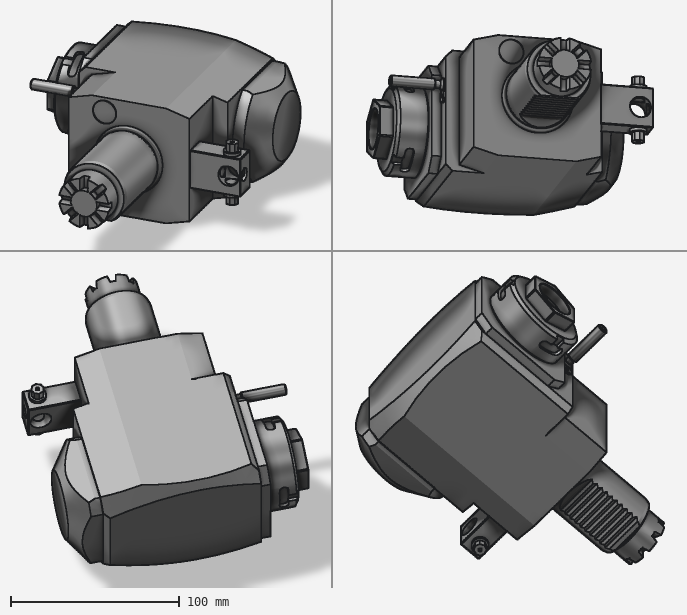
import cadquery as cq
import math


half_height = 37.5
housing_back = 114.0
foot_length = 35.1
foot_half_width = 39.0
flat_half_width = 23.8
housing_left = -47.1
housing_right = 48.5
left_chamfer = 4.0
back_right_chamfer = 3.3
side_slope = math.tan(math.radians(15))
dome_center = (-9.6, -22.4)
dome_radius = 132.0
plug_center = (-15.8, 27.8)
plug_radius = 7.5
plug_depth = 0.5

spindle_y = 80.0
plate_left = -52.8
plate_half_size = 33.5
plate_chamfer = 8.4

nut_left = -72.0
nut_right = -53.3
nut_radius = 27.3
nut_chamfer_length = 1.8
nut_chamfer_radial = 2.5
nut_neck_radius = 26.4
nut_slot_depth = 2.2
nut_slot_count = 3
arc_slot_x = -62.8
arc_slot_width = 5.5
arc_slot_half_angle = 20.0
axial_slot_width = 5.8

hex_left = -80.3
hex_across_flats = 32.0
hex_corner_radius = 18.2
hex_edge_chamfer = 0.4
bore_radius = 12.0
bore_depth = 6.4

cap_right = 67.3
cap_cone_start = 55.7
cap_radius = 37.3
cap_end_radius = 21.1
cap_back = 110.0
cap_half_height = 29.7
cap_slope_start = 51.7

collar_radius = 21.7
collar_length = 2.2
collar_rounding = 1.1
groove_radius = 19.3
groove_end = 3.6
shank_radius = 20.0
shank_length = 52.8
shank_chamfer_length = 2.7
shank_chamfer_radial = 0.7
neck_radius = 13.0

flat_z = -15.8
serration_pitch = 4.0
serration_depth = 1.3
serration_count = 10
serration_start = -9.6

dog_start = -54.2
dog_end = -68.0
dog_radius = 16.0
dog_core_radius = 8.4
dog_slot_count = 8
dog_slot_depth = 4.5
dog_slot_mouth = 5.3
dog_slot_floor = 3.5

pin_y = 40.5
pin_z = 17.5
pin_left = -79.9
pin_right = -52.5
pin_radius = 3.3
pin_chamfer = 0.7
pin_neck_radius = 2.4
pin_foot_start = -49.5
pin_foot_radius = 4.0
button_z = 10.4
button_radius = 4.0
button_height = 1.1
button_hole_radius = 1.1

arm_right = 71.2
arm_front = 1.3
arm_back = 16.0
arm_half_height = 12.4
arm_chamfer = 0.5
arm_hole_x = 63.3
arm_hole_radius = 6.4
cross_hole_radius = 4.0
cross_hole_reach = 6.0

screw_y = 7.3
washer_radius = 5.1
washer_height = 2.0
screw_top = 19.8
screw_head_sides = 8
screw_head_size = 7.6
screw_hole_radius = 1.1
screw_hole_depth = 1.8


def mirrored_outline(upper_points):
    """Closed outline from its upper half and the mirror image below Z = 0."""
    return upper_points + [(x, -z) for x, z in reversed(upper_points)]


def block_along_y(outline, y_start, y_end):
    """Prism with an XZ outline between two Y planes."""
    return cq.Workplane("XZ", origin=(0, y_start, 0)).polyline(outline).close().extrude(y_start - y_end)


def cylinder_along_y(x, z, radius, y_start, y_end):
    return cq.Workplane("XZ", origin=(x, y_start, z)).circle(radius).extrude(y_start - y_end)


def turned_along_x(profile, y, z=0):
    """Solid of revolution about a line parallel to X; the profile is (x, radius) points."""
    return cq.Workplane("XY", origin=(0, y, z)).polyline(profile).close().revolve(360, (0, 0), (1, 0))


def turned_along_y(profile):
    """Solid of revolution about the Y axis; the profile is (radius, y) points."""
    return cq.Workplane("XY").polyline(profile).close().revolve(360, (0, 0), (0, 1))


def make_housing():
    right_z = half_height - side_slope * (housing_right - flat_half_width)
    foot_z = half_height - side_slope * (foot_half_width - flat_half_width)
    main = block_along_y(
        mirrored_outline([
            (housing_left, half_height - left_chamfer),
            (housing_left + left_chamfer, half_height),
            (flat_half_width, half_height),
            (housing_right, right_z),
        ]),
        foot_length,
        housing_back,
    )
    main = main.edges(">X and >Y").chamfer(back_right_chamfer)
    dome = (
        cq.Workplane("XZ", origin=(*dome_center, 0))
        .polyline([
            (0, half_height),
            (dome_radius, half_height),
            (dome_radius + half_height, 0),
            (dome_radius, -half_height),
            (0, -half_height),
        ])
        .close()
        .revolve(360, (0, 0), (0, 1))
    )
    foot = block_along_y(
        mirrored_outline([
            (-foot_half_width, foot_z),
            (-flat_half_width, half_height),
            (flat_half_width, half_height),
            (foot_half_width, foot_z),
        ]),
        0,
        foot_length,
    )
    plug_x, plug_z = plug_center
    plug_recess = cylinder_along_y(plug_x, plug_z, plug_radius, 0, plug_depth)
    return main.intersect(dome).union(foot).cut(plug_recess)


def make_plate():
    size = 2 * plate_half_size
    plate = (
        cq.Workplane("YZ", origin=(plate_left, spindle_y, 0))
        .rect(size, size)
        .extrude(housing_left - plate_left)
    )
    return plate.edges("|X").chamfer(plate_chamfer)


def make_nut_slots():
    """One axial slot and one round-ended arc slot on the +Y side of the nut."""
    floor_radius = nut_radius - nut_slot_depth
    reach = 2 * nut_slot_depth
    half_width = arc_slot_width / 2
    sweep_angle = arc_slot_half_angle - math.degrees(math.asin(half_width / nut_radius))
    slots = (
        cq.Workplane("XY", origin=(0, spindle_y, 0))
        .center(arc_slot_x, 0)
        .moveTo(-half_width, floor_radius)
        .rect(arc_slot_width, reach, centered=False)
        .revolve(2 * sweep_angle, (0, 0), (1, 0))
    )
    axis_start = (0, spindle_y, 0)
    axis_end = (1, spindle_y, 0)
    slots = slots.rotate(axis_start, axis_end, -sweep_angle)
    round_end = cylinder_along_y(
        arc_slot_x, 0, half_width, spindle_y + floor_radius, spindle_y + floor_radius + reach
    )
    for angle in (-sweep_angle, sweep_angle):
        slots = slots.union(round_end.rotate(axis_start, axis_end, angle))
    axial = cq.Workplane("XY").box(
        arc_slot_x - nut_left, reach, axial_slot_width, centered=(False, False, True)
    )
    return slots.union(axial.translate((nut_left, spindle_y + floor_radius, 0)))


def make_nut():
    nut = turned_along_x(
        [
            (nut_left, 0),
            (nut_left, nut_radius - nut_chamfer_radial),
            (nut_left + nut_chamfer_length, nut_radius),
            (nut_right, nut_radius),
            (nut_right, nut_neck_radius),
            (plate_left, nut_neck_radius),
            (plate_left, 0),
        ],
        spindle_y,
    )
    slots = make_nut_slots()
    for index in range(nut_slot_count):
        angle = index * 360 / nut_slot_count
        nut = nut.cut(slots.rotate((0, spindle_y, 0), (1, spindle_y, 0), angle))
    return nut


def make_hexagon():
    corner_diameter = hex_across_flats / math.cos(math.radians(30))
    front = cq.Workplane("YZ", origin=(hex_left, spindle_y, 0))
    rounded_corners = front.circle(hex_corner_radius).extrude(nut_left - hex_left)
    hexagon = (
        front.polygon(6, corner_diameter)
        .extrude(nut_left - hex_left)
        .rotate((0, spindle_y, 0), (1, spindle_y, 0), 30)
        .intersect(rounded_corners)
        .cut(front.circle(bore_radius).extrude(bore_depth))
    )
    return hexagon.faces("<X").chamfer(hex_edge_chamfer)


def make_cap():
    cap = turned_along_x(
        [
            (housing_right, 0),
            (housing_right, cap_radius),
            (cap_cone_start, cap_radius),
            (cap_right, cap_end_radius),
            (cap_right, 0),
        ],
        spindle_y,
    )
    end_z = cap_half_height - side_slope * (cap_right - cap_slope_start)
    envelope = block_along_y(
        mirrored_outline([
            (housing_right, cap_half_height),
            (cap_slope_start, cap_half_height),
            (cap_right, end_z),
        ]),
        spindle_y - cap_radius,
        cap_back,
    )
    return cap.intersect(envelope)


def make_shank():
    shank = turned_along_y([
        (0, 0),
        (groove_radius, 0),
        (groove_radius, -groove_end),
        (shank_radius, -groove_end),
        (shank_radius, shank_chamfer_length - shank_length),
        (shank_radius - shank_chamfer_radial, -shank_length),
        (neck_radius, -shank_length),
        (neck_radius, dog_start),
        (0, dog_start),
    ])
    collar = cylinder_along_y(0, 0, collar_radius, -collar_length, 0)
    collar = collar.faces("<Y").edges().fillet(collar_rounding)
    valley_z = flat_z + serration_depth
    profile = [
        (serration_start + shank_radius + flat_z, -shank_radius),
        (serration_start, flat_z),
    ]
    for index in range(serration_count):
        groove_start = serration_start - index * serration_pitch
        profile.append((groove_start - serration_pitch / 2, valley_z))
        profile.append((groove_start - serration_pitch, flat_z))
    profile += [(-shank_length, flat_z), (-shank_length, -shank_radius)]
    flat = cq.Workplane("YZ").polyline(profile).close().extrude(shank_radius, both=True)
    return shank.cut(flat).union(collar)


def make_drive_dog():
    slot_top = dog_end + dog_slot_depth
    dog = cylinder_along_y(0, 0, dog_radius, dog_end, dog_start)
    slot = (
        cq.Workplane("XY")
        .polyline([
            (-dog_slot_mouth / 2, dog_end),
            (dog_slot_mouth / 2, dog_end),
            (dog_slot_floor / 2, slot_top),
            (-dog_slot_floor / 2, slot_top),
        ])
        .close()
        .extrude(dog_radius)
    )
    core = cylinder_along_y(0, 0, dog_core_radius, dog_end, slot_top)
    for index in range(dog_slot_count):
        dog = dog.cut(slot.rotate((0, 0, 0), (0, 1, 0), index * 360 / dog_slot_count))
    return dog.union(core)


def make_pin():
    return turned_along_x(
        [
            (pin_left, 0),
            (pin_left, pin_radius - pin_chamfer),
            (pin_left + pin_chamfer, pin_radius),
            (pin_right - pin_chamfer, pin_radius),
            (pin_right, pin_radius - pin_chamfer),
            (pin_right, pin_neck_radius),
            (pin_foot_start, pin_neck_radius),
            (pin_foot_start + pin_foot_radius - pin_neck_radius, pin_foot_radius),
            (housing_left, pin_foot_radius),
            (housing_left, 0),
        ],
        pin_y,
        pin_z,
    )


def make_button():
    return (
        cq.Workplane("YZ", origin=(housing_left - button_height, pin_y, button_z))
        .circle(button_radius)
        .circle(button_hole_radius)
        .extrude(button_height)
    )


def make_screw():
    """Flanged screw on the upper face of the arm."""
    screw = cq.Workplane("XY", origin=(arm_hole_x, screw_y, arm_half_height))
    washer = screw.circle(washer_radius).extrude(washer_height)
    head = screw.polygon(screw_head_sides, screw_head_size).extrude(screw_top - arm_half_height)
    hole = head.faces(">Z").workplane().circle(screw_hole_radius).extrude(-screw_hole_depth, combine=False)
    return washer.union(head).cut(hole)


def cross_cylinder(plane, start, end):
    """Cylinder square to a plane through the crossing point of the arm holes."""
    center_plane = cq.Workplane(plane, origin=(arm_hole_x, screw_y, 0))
    return center_plane.workplane(offset=start).circle(cross_hole_radius).extrude(end - start)


def make_arm_holes():
    """Main hole along Y and two cross holes.

    The cross hole along Z ends flat above and below the main hole.
    The one along X ends flat towards the foot and is open at the end of the arm.
    """
    main = cylinder_along_y(arm_hole_x, 0, arm_hole_radius, arm_front, arm_back)
    for plane, start, end in (
        ("XY", cross_hole_reach, arm_hole_radius),
        ("XY", -arm_hole_radius, -cross_hole_reach),
        ("YZ", -arm_hole_radius, -cross_hole_reach),
    ):
        main = main.cut(cross_cylinder(plane, start, end))
    upright = cross_cylinder("XY", -cross_hole_reach, cross_hole_reach)
    lengthwise = cross_cylinder("YZ", -cross_hole_reach, arm_right - arm_hole_x)
    return main.union(upright).union(lengthwise)


def make_arm():
    arm = (
        cq.Workplane("XY")
        .box(
            arm_right - foot_half_width,
            arm_back - arm_front,
            2 * arm_half_height,
            centered=(False, False, True),
        )
        .translate((foot_half_width, arm_front, 0))
        .edges("not <X")
        .chamfer(arm_chamfer)
    )
    screw = make_screw()
    return arm.cut(make_arm_holes()).union(screw).union(screw.mirror("XY"))


result = (
    make_housing()
    .union(make_plate())
    .union(make_nut())
    .union(make_hexagon())
    .union(make_cap())
    .union(make_shank())
    .union(make_drive_dog())
    .union(make_pin())
    .union(make_button())
    .union(make_arm())
)